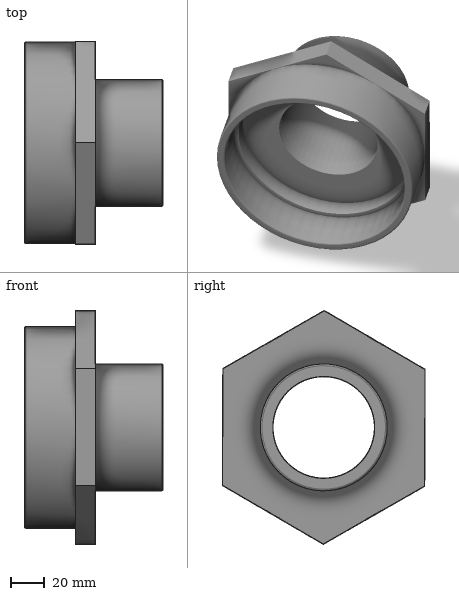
import cadquery as cq
import math

socket_length = 30.0
hex_thickness = 11.9
spigot_length = 40.0
total_length = socket_length + hex_thickness + spigot_length

socket_diameter = 119.7
spigot_diameter = 75.2
counterbore_diameter = 110.0
inner_bore_diameter = 104.6
through_diameter = 60.1

hex_across_corners = 138.5
hex_tilt = 0.23

counterbore_depth = 24.0
inner_bore_depth = 34.0
edge_radius = 1.0


def cylinder(diameter, start, length):
    """Solid cylinder along +X, starting at the given X."""
    return cq.Workplane("YZ").workplane(offset=start).circle(diameter / 2).extrude(length)


def hex_flange():
    """Hexagonal prism with corners up and down, tilted slightly about X."""
    radius = hex_across_corners / 2
    corners = []
    for i in range(6):
        angle = math.radians(90 - hex_tilt + 60 * i)
        corners.append((radius * math.cos(angle), radius * math.sin(angle)))
    return cq.Workplane("YZ").workplane(offset=socket_length).polyline(corners).close().extrude(hex_thickness)


socket = cylinder(socket_diameter, 0, socket_length).faces("<X").fillet(edge_radius)
spigot_start = socket_length + hex_thickness
spigot = cylinder(spigot_diameter, spigot_start, spigot_length).faces(">X").fillet(edge_radius)
body = socket.union(hex_flange()).union(spigot)

bored = (
    body.cut(cylinder(through_diameter, 0, total_length))
    .cut(cylinder(inner_bore_diameter, 0, inner_bore_depth))
    .cut(cylinder(counterbore_diameter, 0, counterbore_depth))
)

result = bored.faces("<X").edges(cq.selectors.RadiusNthSelector(0)).fillet(edge_radius)